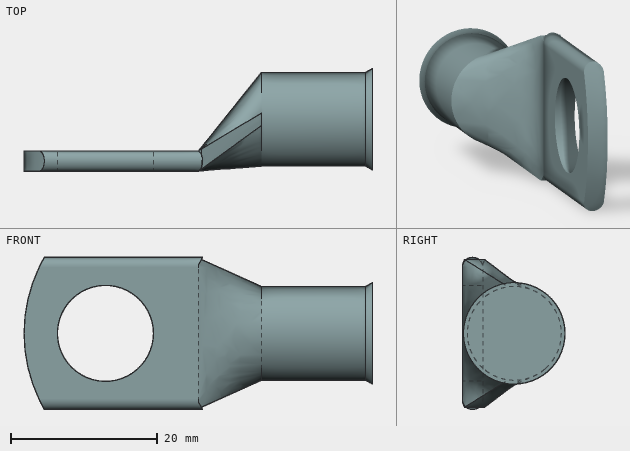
import cadquery as cq
import math


tongue_width = 20.83
tongue_thickness = 2.8
tongue_end = 24.45
tip_radius = tongue_width
stud_hole_diameter = 13.1
stud_hole_x = 11.15

barrel_diameter = 12.85
barrel_start = 32.5
total_length = 47.69
flare_length = 0.95
flare_diameter = 13.9
total_depth = 14.06
barrel_axis_y = total_depth - flare_diameter / 2

transition_start = 23.88
transition_width = 20.6
bevel_start_z = 9.4
side_strip_width = 1.7


def section_plane(x, y):
    """Plane across the lug at (x, y): local x is +Y, local y is +Z."""
    return cq.Plane(origin=(x, y, 0), xDir=(0, 1, 0), normal=(1, 0, 0))


def make_tongue():
    """Flat bar with rounded long edges, a curved tip, a stud hole and a notched barrel end."""
    bar = (
        cq.Workplane(section_plane(0, tongue_thickness / 2))
        .slot2D(tongue_width, tongue_thickness, 90)
        .extrude(tongue_end)
    )
    half_width = tongue_width / 2
    corner_x = tip_radius - math.sqrt(tip_radius**2 - half_width**2)
    face_outline = (
        cq.Workplane("XZ")
        .moveTo(corner_x, -half_width)
        .threePointArc((0, 0), (corner_x, half_width))
        .lineTo(tongue_end, half_width)
        .lineTo(transition_start, bevel_start_z)
        .lineTo(transition_start, -bevel_start_z)
        .lineTo(tongue_end, -half_width)
        .close()
        .extrude(-tongue_thickness)
    )
    stud_hole = (
        cq.Workplane("XZ")
        .center(stud_hole_x, 0)
        .circle(stud_hole_diameter / 2)
        .extrude(-tongue_thickness)
    )
    return bar.intersect(face_outline).cut(stud_hole)


def corner_wedge(side):
    """Wedge that bevels the wide end of the transition; side is +1 for +Z, -1 for -Z."""
    half_width = tongue_width / 2
    outline = [
        (transition_start, side * bevel_start_z),
        (transition_start, side * half_width),
        (tongue_end, side * half_width),
    ]
    return cq.Workplane("XZ").polyline(outline).close().extrude(-total_depth)


def make_transition():
    """Ruled skin from a flat rectangle to the barrel circle, with a narrow strip along each side."""
    half_width = transition_width / 2
    barrel_radius = barrel_diameter / 2
    half_strip = side_strip_width / 2
    strip_z = math.sqrt(barrel_radius**2 - half_strip**2)

    tongue_section = (
        cq.Workplane(section_plane(transition_start, 0))
        .moveTo(0, -half_width)
        .lineTo(0, half_width)
        .lineTo(tongue_thickness, half_width)
        .lineTo(tongue_thickness, -half_width)
        .close()
    )
    barrel_section = (
        cq.Workplane(section_plane(barrel_start, barrel_axis_y))
        .moveTo(-half_strip, -strip_z)
        .threePointArc((-barrel_radius, 0), (-half_strip, strip_z))
        .threePointArc((0, barrel_radius), (half_strip, strip_z))
        .threePointArc((barrel_radius, 0), (half_strip, -strip_z))
        .threePointArc((0, -barrel_radius), (-half_strip, -strip_z))
        .close()
    )
    ruled = True
    skin = cq.Solid.makeLoft([tongue_section.val(), barrel_section.val()], ruled)
    return cq.Workplane(skin).cut(corner_wedge(1)).cut(corner_wedge(-1))


def make_barrel():
    """Round barrel that flares out over its last stretch, closed by a plain end face."""
    flare_start = total_length - flare_length
    profile = (
        cq.Workplane("XY")
        .moveTo(barrel_start, barrel_axis_y)
        .lineTo(barrel_start, barrel_axis_y + barrel_diameter / 2)
        .lineTo(flare_start, barrel_axis_y + barrel_diameter / 2)
        .lineTo(total_length, barrel_axis_y + flare_diameter / 2)
        .lineTo(total_length, barrel_axis_y)
        .close()
    )
    return profile.revolve(360, (0, barrel_axis_y, 0), (1, barrel_axis_y, 0))


result = make_tongue().union(make_transition()).union(make_barrel())